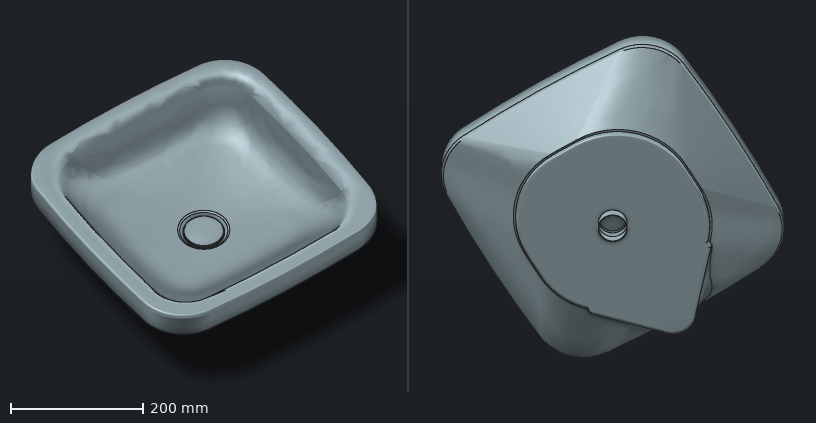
import cadquery as cq
import math

BASIN_HEIGHT = 122.0
FOOT_HEIGHT = 10.5
BAND_BOTTOM = 78.0
BAND_EDGE = 82.5

RIM_HALF = 214.7
BAND_EDGE_HALF = 214.7
BAND_BOTTOM_HALF = 212.0
SLOPE_FOOT_HALF = 142.5
FOOT_HALF = 140.0

SIDE_RADIUS = 2061.5
CORNER_RADIUS = 77.5
FOOT_CORNER_RADIUS = 120.3
RIM_FILLET = 6.5
FOOT_FILLET = 5.5

PILLAR_HALF_WIDTH = 28.8
PILLAR_FOOT_REACH = 211.0
PILLAR_FOOT_TIP_DEPTH = 15.0
PILLAR_FOOT_ROOT = 64.5
FLARE_FOOT_REACH = 111.5
FLARE_FOOT_HALF = 107.5
PILLAR_TOP_REACH = 213.0
PILLAR_TOP_TIP_DEPTH = 1.5
PILLAR_TOP_ROOT = 172.0
FLARE_TOP_REACH = 210.5
FLARE_TOP_HALF = 77.5

DRAIN_BOTTOM = -19.0
PIPE_RADIUS = 44.0 / 2
BORE_RADIUS = 42.0 / 2
FLANGE_RADIUS = 36.5
FLANGE_BOTTOM = 13.7
FLANGE_TOP = 22.8
SEAT_RADIUS = 31.8
SEAT_HEIGHT = 19.0
HOLE_EDGE_RADIUS = 39.5
HOLE_EDGE_HEIGHT = 24.5

CAP_RADIUS = 60.0 / 2
CAP_EDGE_HEIGHT = 22.5
CAP_TOP = 27.5

FLOOR_EDGE = (44.0, 117.0, 343.5, 77.5)
LIP_EDGE = (106.0, 177.5, SIDE_RADIUS, 60.0)
FLOOR_SECTIONS = [
    (HOLE_EDGE_HEIGHT, HOLE_EDGE_RADIUS, 43.0, 38.5),
    (32.0, 77.5, 129.0, 64.5),
    FLOOR_EDGE,
]
WALL_SECTIONS = [
    FLOOR_EDGE,
    (67.0, 155.5, 859.0, 68.7),
    LIP_EDGE,
]
LIP_SECTIONS = [
    LIP_EDGE,
    (116.5, 186.5, SIDE_RADIUS, 64.5),
    (BASIN_HEIGHT, 206.0, SIDE_RADIUS, 68.7),
]


def quarter_turned(x, y, turns):
    """Point turned clockwise about Z by a number of quarter turns."""
    for _ in range(turns):
        x, y = y, -x
    return x, y


def bulged_square(half, side_radius, corner_radius, z):
    """Wire of four shallow side arcs joined tangentially by four corner arcs."""
    side_centre = half - side_radius
    reach = side_radius - corner_radius
    corner_centre = (side_centre + math.sqrt(2 * reach**2 - side_centre**2)) / 2
    lean = math.asin(corner_centre / reach)
    along = side_radius * math.sin(lean)
    across = side_centre + side_radius * math.cos(lean)
    diagonal = corner_centre + corner_radius / math.sqrt(2)

    outline = cq.Workplane("XY", origin=(0, 0, z)).moveTo(-along, across)
    for turns in range(4):
        outline = outline.threePointArc(quarter_turned(0, half, turns), quarter_turned(along, across, turns))
        outline = outline.threePointArc(
            quarter_turned(diagonal, diagonal, turns), quarter_turned(across, along, turns)
        )
    return outline.close().val()


def outer_section(half, z, corner_radius=CORNER_RADIUS):
    return bulged_square(half, SIDE_RADIUS, corner_radius, z)


def pillar_section(z, reach, tip_depth, flare_reach, flare_half, root_reach):
    """Rounded tip at -X whose sides flare out towards the basin."""
    return (
        cq.Workplane("XY", origin=(0, 0, z))
        .moveTo(-root_reach, -flare_half)
        .lineTo(-flare_reach, -flare_half)
        .lineTo(tip_depth - reach, -PILLAR_HALF_WIDTH)
        .threePointArc((-reach, 0), (tip_depth - reach, PILLAR_HALF_WIDTH))
        .lineTo(-flare_reach, flare_half)
        .lineTo(-root_reach, flare_half)
        .close()
        .val()
    )


def pillar_foot_section(z):
    return pillar_section(
        z, PILLAR_FOOT_REACH, PILLAR_FOOT_TIP_DEPTH, FLARE_FOOT_REACH, FLARE_FOOT_HALF, PILLAR_FOOT_ROOT
    )


def make_pillar_base():
    return cq.Solid.extrudeLinear(pillar_foot_section(0), [], cq.Vector(0, 0, FOOT_HEIGHT))


def make_pillar_shaft():
    top = pillar_section(
        BAND_EDGE, PILLAR_TOP_REACH, PILLAR_TOP_TIP_DEPTH, FLARE_TOP_REACH, FLARE_TOP_HALF, PILLAR_TOP_ROOT
    )
    return cq.Solid.makeLoft([pillar_foot_section(FOOT_HEIGHT), top], True)


def make_basin():
    foot_outline = outer_section(FOOT_HALF, 0, FOOT_CORNER_RADIUS)
    foot = cq.Solid.extrudeLinear(foot_outline, [], cq.Vector(0, 0, FOOT_HEIGHT))
    foot = cq.Workplane(foot).union(cq.Workplane(make_pillar_base())).faces("<Z").edges().fillet(FOOT_FILLET)

    shell = cq.Solid.makeLoft(
        [
            outer_section(SLOPE_FOOT_HALF, FOOT_HEIGHT, FOOT_CORNER_RADIUS),
            outer_section(BAND_BOTTOM_HALF, BAND_BOTTOM),
            outer_section(BAND_EDGE_HALF, BAND_EDGE),
            outer_section(RIM_HALF, BASIN_HEIGHT),
        ],
        True,
    )
    shell = cq.Workplane(shell).faces(">Z").edges().fillet(RIM_FILLET)

    basin = shell.union(foot).union(cq.Workplane(make_pillar_shaft()))
    for sections in (FLOOR_SECTIONS, WALL_SECTIONS, LIP_SECTIONS):
        basin = basin.cut(bowl_part(sections))
    return basin.cut(drain_hole())


def bowl_part(sections):
    """Smooth space through a stack of bulged squares."""
    wires = [bulged_square(half, side, corner, z) for z, half, side, corner in sections]
    return cq.Workplane(cq.Solid.makeLoft(wires))


def turned_body(profile):
    """Solid of revolution about Z from a profile in radius and height."""
    return profile.close().revolve(360, (0, 0, 0), (0, 1, 0))


def drain_hole():
    """Bore for the pipe, recess for the flange and a flared edge at the bowl floor."""
    profile = cq.Workplane("XZ").polyline(
        [
            (0, 0),
            (PIPE_RADIUS, 0),
            (PIPE_RADIUS, FLANGE_BOTTOM),
            (FLANGE_RADIUS, FLANGE_BOTTOM),
            (FLANGE_RADIUS, FLANGE_TOP),
            (HOLE_EDGE_RADIUS, HOLE_EDGE_HEIGHT),
            (HOLE_EDGE_RADIUS, CAP_TOP),
            (0, CAP_TOP),
        ]
    )
    return turned_body(profile)


def make_drain():
    """Open pipe with a flange whose top slopes in to a flat seat."""
    profile = cq.Workplane("XZ").polyline(
        [
            (BORE_RADIUS, DRAIN_BOTTOM),
            (PIPE_RADIUS, DRAIN_BOTTOM),
            (PIPE_RADIUS, FLANGE_BOTTOM),
            (FLANGE_RADIUS, FLANGE_BOTTOM),
            (FLANGE_RADIUS, FLANGE_TOP),
            (SEAT_RADIUS, SEAT_HEIGHT),
            (BORE_RADIUS, SEAT_HEIGHT),
        ]
    )
    return turned_body(profile)


def make_cap():
    """Disc on the flange seat with a shallow domed top."""
    dome_rise = CAP_TOP - CAP_EDGE_HEIGHT
    dome_radius = (CAP_RADIUS**2 + dome_rise**2) / (2 * dome_rise)
    half_angle = math.asin(CAP_RADIUS / dome_radius) / 2
    dome_mid = (
        dome_radius * math.sin(half_angle),
        CAP_TOP - dome_radius * (1 - math.cos(half_angle)),
    )
    profile = (
        cq.Workplane("XZ")
        .moveTo(0, SEAT_HEIGHT)
        .lineTo(CAP_RADIUS, SEAT_HEIGHT)
        .lineTo(CAP_RADIUS, CAP_EDGE_HEIGHT)
        .threePointArc(dome_mid, (0, CAP_TOP))
    )
    return turned_body(profile)


basin = make_basin()
drain = make_drain()
cap = make_cap()

result = cq.Compound.makeCompound([basin.val(), drain.val(), cap.val()])